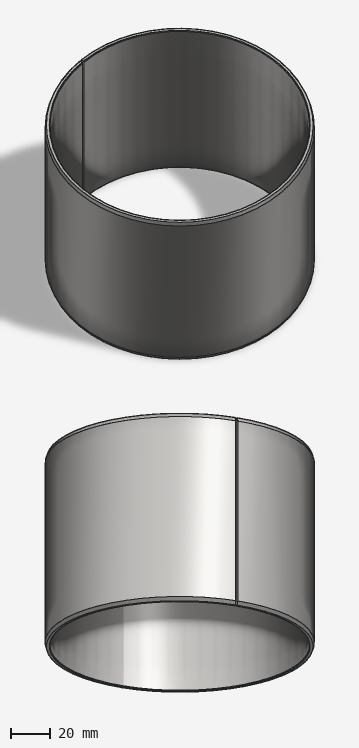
import cadquery as cq

outer_diameter = 135.0
height = 100.0
inner_diameter = 130.0
slit_width = 1.1

outer_chamfer_height = 2.0
outer_chamfer_depth = 0.7
inner_chamfer = 0.4

outer_radius = outer_diameter / 2
inner_radius = inner_diameter / 2


def sleeve():
    """Revolve the wall section, chamfered at both ends, about Z."""
    half_height = height / 2
    upper_profile = [
        (inner_radius, half_height - inner_chamfer),
        (inner_radius + inner_chamfer, half_height),
        (outer_radius - outer_chamfer_depth, half_height),
        (outer_radius, half_height - outer_chamfer_height),
    ]
    lower_profile = [(radius, -z) for radius, z in reversed(upper_profile)]
    return (
        cq.Workplane("XZ")
        .polyline(upper_profile + lower_profile)
        .close()
        .revolve(360, (0, 0, 0), (0, 1, 0))
    )


def slit():
    """Cutter through the -X wall, with one face on the XZ plane and the other toward +Y."""
    return (
        cq.Workplane("XY")
        .box(outer_radius, slit_width, height)
        .translate((-outer_radius, slit_width / 2, 0))
    )


result = sleeve().cut(slit())